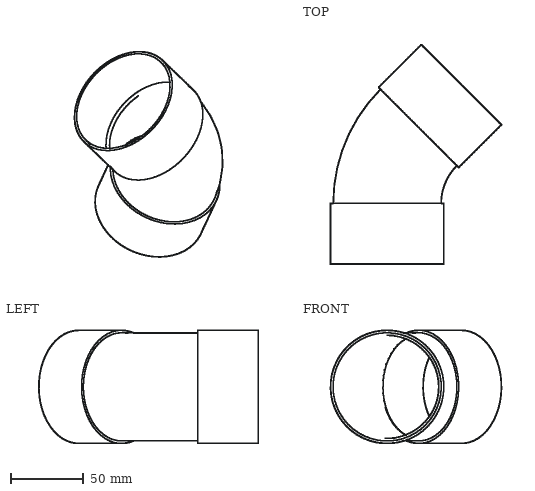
import cadquery as cq
import math

bend_angle = 45.0
wall = 1.8
pipe_diameter = 75.0
socket_length = 42.0
bend_radius = 74.5

bore_diameter = pipe_diameter - 2 * wall
socket_diameter = pipe_diameter + 2 * wall
stop_round = wall

angle = math.radians(bend_angle)
bend_start = (0, 0, 0)
bend_end = (
    bend_radius * (1 - math.cos(angle)),
    bend_radius * math.sin(angle),
    0,
)
inlet_direction = (0, -1, 0)
outlet_direction = (math.sin(angle), math.cos(angle), 0)


def bent_rod(diameter):
    """Solid round bar that follows the bend."""
    axis_start = (bend_radius, 1, 0)
    axis_end = (bend_radius, 0, 0)
    return cq.Workplane("XZ").circle(diameter / 2).revolve(bend_angle, axis_start, axis_end)


def socket_plane(base, direction):
    """Plane at the end of the bend whose local Y runs along the socket axis."""
    radial = cq.Vector(0, 0, 1)
    normal = radial.cross(cq.Vector(*direction))
    return cq.Workplane(cq.Plane(origin=base, xDir=radial, normal=normal))


def socket_body(base, direction):
    """Solid outer cylinder of a socket."""
    return (
        socket_plane(base, direction)
        .rect(socket_diameter / 2, socket_length, centered=False)
        .revolve(360, (0, 0, 0), (0, 1, 0))
    )


def socket_recess(base, direction):
    """Pipe seat that ends on a stop, rounded smoothly into the bore of the bend."""
    bore_radius = bore_diameter / 2
    seat_radius = pipe_diameter / 2
    arc_middle = (
        seat_radius - stop_round * math.cos(math.pi / 4),
        stop_round * math.sin(math.pi / 4),
    )
    return (
        socket_plane(base, direction)
        .lineTo(bore_radius, 0)
        .threePointArc(arc_middle, (seat_radius, stop_round))
        .lineTo(seat_radius, socket_length)
        .lineTo(0, socket_length)
        .close()
        .revolve(360, (0, 0, 0), (0, 1, 0))
    )


outside = bent_rod(pipe_diameter)
inside = bent_rod(bore_diameter)
for base, direction in ((bend_start, inlet_direction), (bend_end, outlet_direction)):
    outside = outside.union(socket_body(base, direction))
    inside = inside.union(socket_recess(base, direction))

result = outside.cut(inside)